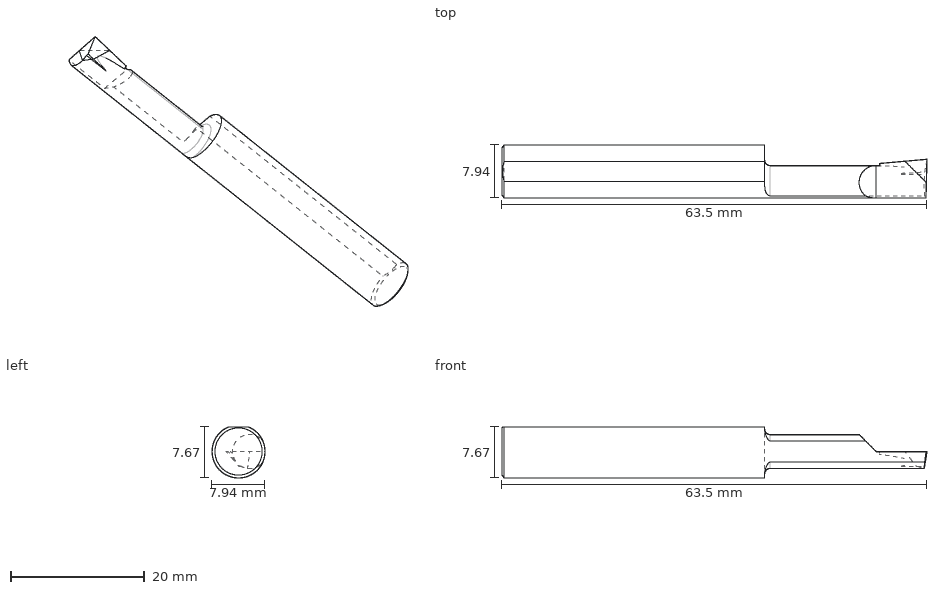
import cadquery as cq
import math

total_length = 63.5
shank_radius = 3.97
shank_length = 39.25
flat_height = 3.7
rear_chamfer_length = 0.3
rear_chamfer_depth = 0.45

neck_radius = 2.55
neck_y = -1.65
root_fillet = 0.8

rake_face_start = 55.9
ramp_start = rake_face_start - neck_radius

tip_y = 1.85
flank_start = 56.4
flank_start_y = 1.2
flank_depth = 2.2
end_edge_heel = 0.16
flank_relief = 40.0
end_relief = 8.0

insert_side_length = 3.3
insert_edge_y = 1.5

clearance = 1.3


def x_cylinder(start, end, radius, y=0.0):
    return cq.Workplane("YZ", origin=(start, y, 0)).circle(radius).extrude(end - start)


def make_shank():
    """Round shank with a tapered rear rim and a clamping flat on top."""
    rim_radius = shank_radius - rear_chamfer_depth
    shank = (
        cq.Workplane("XY")
        .polyline([
            (0, 0),
            (0, rim_radius),
            (rear_chamfer_length, shank_radius),
            (shank_length, shank_radius),
            (shank_length, 0),
        ])
        .close()
        .revolve(360, (0, 0, 0), (1, 0, 0))
    )
    above_flat = cq.Workplane("XY", origin=(0, 0, flat_height)).rect(
        3 * total_length, 3 * shank_radius
    ).extrude(shank_radius)
    return shank.cut(above_flat)


def make_neck():
    """Offset cylinder with a concave root flare, still untrimmed at its far end."""
    neck = x_cylinder(shank_length, total_length + clearance, neck_radius, neck_y)
    flare_end = shank_length + root_fillet
    arc_offset = root_fillet * math.sqrt(0.5)
    flare = (
        cq.Workplane("XY", origin=(0, neck_y, 0))
        .moveTo(shank_length, 0)
        .lineTo(shank_length, neck_radius + root_fillet)
        .threePointArc(
            (flare_end - arc_offset, neck_radius + root_fillet - arc_offset),
            (flare_end, neck_radius),
        )
        .lineTo(flare_end, 0)
        .close()
        .revolve(360, (0, 0, 0), (1, 0, 0))
    )
    return neck.union(flare)


def make_flank():
    """Side of the head that carries the edge out to the tip and leans inward below it."""
    shift = flank_depth * math.tan(math.radians(flank_relief))
    return (
        cq.Workplane("XY")
        .polyline([
            (flank_start, neck_y),
            (flank_start, flank_start_y),
            (total_length, tip_y),
            (total_length, neck_y),
        ])
        .close()
        .workplane(offset=-flank_depth)
        .polyline([
            (flank_start, neck_y),
            (flank_start, flank_start_y - shift),
            (total_length, tip_y - shift),
            (total_length, neck_y),
        ])
        .close()
        .loft(ruled=True, combine=True)
    )


def make_space_above_rake_face():
    end = total_length + clearance
    top = neck_radius + clearance
    return (
        cq.Workplane("XZ")
        .polyline([
            (rake_face_start, 0),
            (ramp_start - clearance, top),
            (end, top),
            (end, 0),
        ])
        .close()
        .extrude(2 * shank_radius, both=True)
    )


def make_space_beyond_end_face():
    """Everything in front of the skewed end face, which slopes back below its edge."""
    skew = end_edge_heel / (tip_y + shank_radius)
    reach = 2 * shank_radius
    far_x = total_length + 2 * clearance
    shift = shank_radius * math.tan(math.radians(end_relief))
    high_y_x = total_length + skew * (reach - tip_y)
    low_y_x = total_length - skew * (reach + tip_y)
    return (
        cq.Workplane("XY")
        .polyline([(low_y_x, -reach), (high_y_x, reach), (far_x, reach), (far_x, -reach)])
        .close()
        .workplane(offset=-shank_radius)
        .polyline([
            (low_y_x - shift, -reach),
            (high_y_x - shift, reach),
            (far_x, reach),
            (far_x, -reach),
        ])
        .close()
        .loft(ruled=True, combine=True)
    )


def make_bar_blank():
    """Whole boring bar, before the tip is split off."""
    shank_envelope = x_cylinder(shank_length, total_length + clearance, shank_radius)
    stem = make_neck().union(make_flank()).intersect(shank_envelope)
    stem = stem.cut(make_space_above_rake_face()).cut(make_space_beyond_end_face())
    return make_shank().union(stem)


def make_insert_pocket():
    """Triangular prism through the full height of the head."""
    corner_x = total_length - insert_side_length - clearance
    corner_y = insert_edge_y + clearance
    end_x = total_length + clearance
    return (
        cq.Workplane("XY", origin=(0, 0, -shank_radius))
        .polyline([
            (corner_x, corner_y),
            (end_x, corner_y),
            (end_x, corner_y - (end_x - corner_x)),
        ])
        .close()
        .extrude(2 * shank_radius)
    )


bar_blank = make_bar_blank()
insert_pocket = make_insert_pocket()
boring_bar = bar_blank.cut(insert_pocket)
tip_insert = bar_blank.intersect(insert_pocket)

result = cq.Compound.makeCompound([*boring_bar.solids().vals(), *tip_insert.solids().vals()])